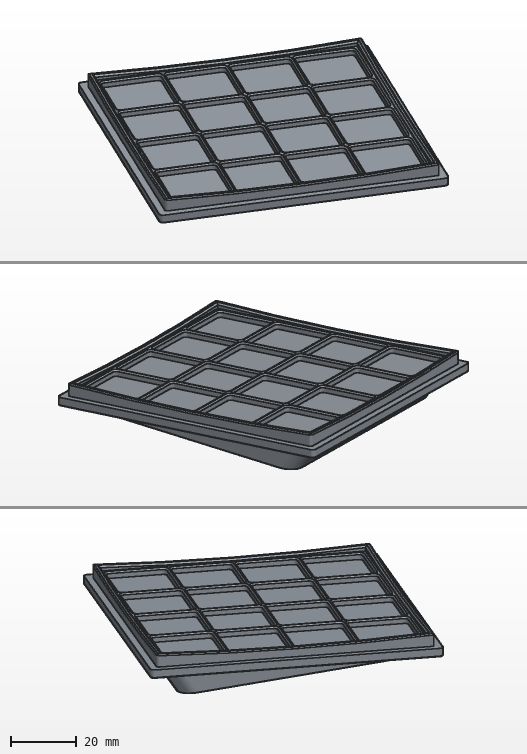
import cadquery as cq

flange_size = 91.5
flange_bottom = 8.0
flange_top = 10.7
flange_corner_radius = 1.3
flange_chamfer = 0.3

wall_size = 86.7
wall_thickness = 1.9
wall_top = 14.8
wall_sag = 1.1
wall_corner_radius = 0.8
wall_outer_chamfer = 0.5
wall_inner_chamfer = 0.6

floor_size = wall_size - 2 * wall_thickness
floor_top = 13.0
pockets_per_side = 4
pocket_size = 20.1
rib_width = 0.3
pocket_corner_radius = 1.7
pocket_chamfer = 0.55
pocket_bottom = 10.9

wedge_size = 81.4
wedge_lean = 5.3
wedge_shallow_bottom = 7.2
wedge_corner_radius = 4.85
wedge_chamfer = 0.2


def square_block(size, bottom, top):
    """Square block centred on the Z axis."""
    return cq.Workplane("XY", origin=(0, 0, bottom)).rect(size, size).extrude(top - bottom)


def make_flange():
    block = square_block(flange_size, flange_bottom, flange_top)
    block = block.edges("|Z").fillet(flange_corner_radius)
    return block.faces("<Z").edges().chamfer(flange_chamfer)


def make_wall_side():
    """The -Y side of the wall: a bar with a sagging top, mitred at both ends."""
    half = wall_size / 2
    bar = (
        cq.Workplane("XZ", origin=(0, -half, 0))
        .moveTo(-half, flange_bottom)
        .lineTo(-half, wall_top)
        .threePointArc((0, wall_top - wall_sag), (half, wall_top))
        .lineTo(half, flange_bottom)
        .close()
        .extrude(-wall_thickness)
    )
    bar = bar.faces("<Y").edges("%CIRCLE").chamfer(wall_outer_chamfer)
    bar = bar.faces(">Y").edges("%CIRCLE").chamfer(wall_inner_chamfer)
    sector = [(0, 0), (-half, -half), (half, -half)]
    mitre = cq.Workplane("XY").polyline(sector).close().extrude(wall_top)
    return bar.intersect(mitre)


def make_wall():
    side = make_wall_side()
    wall = square_block(floor_size, flange_bottom, floor_top)
    for turn in range(4):
        wall = wall.union(side.rotate((0, 0, 0), (0, 0, 1), 90 * turn))
    outline = square_block(wall_size, flange_bottom, wall_top).edges("|Z").fillet(wall_corner_radius)
    return wall.intersect(outline)


def make_wedge():
    """Underside wedge: leaning -X end, bottom rising towards +X, rounded upright corners."""
    half = wedge_size / 2
    profile = [
        (-half, flange_bottom),
        (-half + wedge_lean, 0),
        (half, wedge_shallow_bottom),
        (half, flange_bottom),
    ]
    wedge = cq.Workplane("XZ").polyline(profile).close().extrude(half, both=True)
    wedge = wedge.faces("<X or >X").edges("not |Y").fillet(wedge_corner_radius)
    return wedge.faces("<Z").edges().chamfer(wedge_chamfer)


def make_pocket_cutter():
    """Straight-walled pocket with a 45 degree chamfer around its mouth."""
    bore = square_block(pocket_size - 2 * pocket_chamfer, pocket_bottom, floor_top)
    bore = bore.edges("|Z").fillet(pocket_corner_radius - pocket_chamfer)
    outline = cq.Sketch().rect(pocket_size, pocket_size).vertices().fillet(pocket_corner_radius)
    mouth = cq.Workplane("XY", origin=(0, 0, floor_top)).placeSketch(outline)
    mouth = mouth.extrude(-pocket_chamfer, taper=45)
    return bore.union(mouth)


def make_pocket_grid():
    pitch = pocket_size + rib_width
    pocket = make_pocket_cutter().val()
    centres = cq.Workplane("XY").rarray(pitch, pitch, pockets_per_side, pockets_per_side)
    return centres.eachpoint(lambda location: pocket.moved(location))


result = make_flange().union(make_wall()).union(make_wedge()).cut(make_pocket_grid())